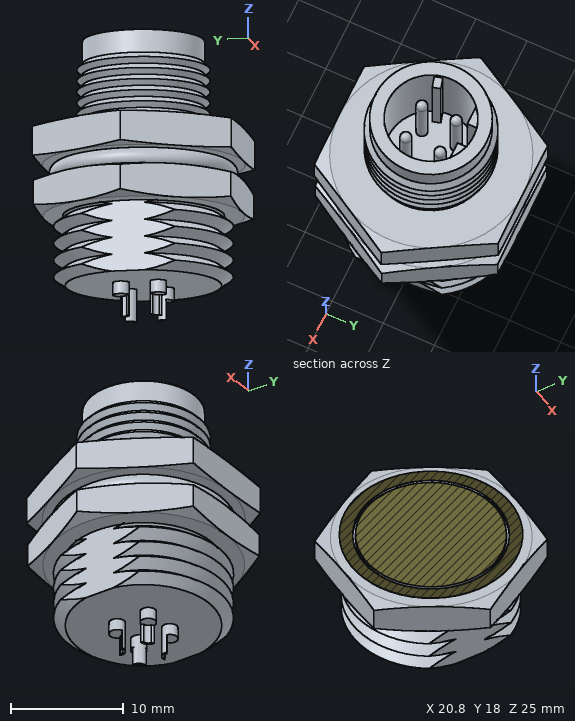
import cadquery as cq
import math

TOTAL_HEIGHT = 25.02
FLANGE_TOP = 16.9
HEX_THICKNESS = 3.0
NUT_TOP = 12.23
BARREL_BOTTOM = 2.95
CUP_TOP = 1.83
FLANGE_BOTTOM = FLANGE_TOP - HEX_THICKNESS
NUT_BOTTOM = NUT_TOP - HEX_THICKNESS

FLANGE_ACROSS_FLATS = 18.0
NUT_ACROSS_FLATS = 17.86
FLANGE_CHAMFER_ANGLE = 7.0
NUT_CHAMFER_ANGLE = 16.0

COLLAR_RADIUS = 5.43
SOCKET_RADIUS = 4.15
SOCKET_FLOOR = FLANGE_TOP
FRONT_CREST_RADIUS = 5.93
FRONT_PITCH = 1.0
FRONT_RIDGES = 5
FRONT_THREAD_TOP = TOTAL_HEIGHT - 2.08
FRONT_THREAD_BOTTOM = FRONT_THREAD_TOP - FRONT_RIDGES * FRONT_PITCH

REAR_ROOT_RADIUS = 6.93
REAR_CREST_RADIUS = 7.98
REAR_PITCH = 1.53
REAR_RIDGES = 6
BARREL_ACROSS_FLATS = 13.54

RING_OUTER_RADIUS = 8.35
RING_SECTION_RADIUS = (FLANGE_BOTTOM - NUT_TOP) / 2
RING_CENTER_RADIUS = RING_OUTER_RADIUS - RING_SECTION_RADIUS
NECK_RADIUS = RING_CENTER_RADIUS - RING_SECTION_RADIUS

KEY_TOP = TOTAL_HEIGHT - 0.38
KEY_HEIGHT = KEY_TOP - SOCKET_FLOOR
KEYWAY_WIDTH = 2.03
WALL_KEY_INNER_Y = 3.08
RIB_WIDTH = 0.78
RIB_INNER_RADIUS = 3.1
RIB_ANGLE = 196.0

PIN_OFFSET = 1.68
PIN_RADIUS = 0.53
PIN_TIP = TOTAL_HEIGHT - 1.95
CUP_RADIUS = 0.73
CUP_BORE_RADIUS = 0.5
CUP_CUT_OFFSET = 0.363


def cylinder(radius, bottom, top):
    return cq.Workplane("XY").workplane(offset=bottom).circle(radius).extrude(top - bottom)


def ridged_cylinder(root_radius, crest_radius, pitch, ridges, bottom):
    """Cylinder with equal V-shaped rings stacked along Z."""
    outline = cq.Workplane("XZ").moveTo(0, bottom).lineTo(root_radius, bottom)
    for ridge in range(ridges):
        ridge_bottom = bottom + ridge * pitch
        outline = outline.lineTo(crest_radius, ridge_bottom + pitch / 2)
        outline = outline.lineTo(root_radius, ridge_bottom + pitch)
    outline = outline.lineTo(0, bottom + ridges * pitch).close()
    return outline.revolve(360, (0, 0), (0, 1))


def chamfered_hexagon(across_flats, chamfer_angle, bottom):
    """Hexagonal plate with corners on the X axis, chamfered on both faces."""
    corner_radius = across_flats / math.sqrt(3)
    flat_radius = across_flats / 2
    top = bottom + HEX_THICKNESS
    drop = (corner_radius - flat_radius) * math.tan(math.radians(chamfer_angle))
    plate = (
        cq.Workplane("XY").workplane(offset=bottom).polygon(6, 2 * corner_radius).extrude(HEX_THICKNESS)
    )
    envelope = (
        cq.Workplane("XZ")
        .moveTo(0, bottom)
        .lineTo(flat_radius, bottom)
        .lineTo(corner_radius, bottom + drop)
        .lineTo(corner_radius, top - drop)
        .lineTo(flat_radius, top)
        .lineTo(0, top)
        .close()
        .revolve(360, (0, 0), (0, 1))
    )
    return plate.intersect(envelope)


def rear_barrel():
    """Full-round rear thread, with a plain stretch at its upper end."""
    thread = ridged_cylinder(REAR_ROOT_RADIUS, REAR_CREST_RADIUS, REAR_PITCH, REAR_RIDGES, BARREL_BOTTOM)
    return thread.union(cylinder(REAR_ROOT_RADIUS, BARREL_BOTTOM, NUT_TOP))


def flattened_barrel():
    """Rear barrel with a flat on its -X side and another on its +X side."""
    slab = (
        cq.Workplane("XY")
        .workplane(offset=BARREL_BOTTOM)
        .rect(BARREL_ACROSS_FLATS, 2 * REAR_CREST_RADIUS)
        .extrude(NUT_TOP - BARREL_BOTTOM)
    )
    return rear_barrel().intersect(slab)


def collar():
    """Front tube with its thread and the open socket."""
    thread = ridged_cylinder(
        COLLAR_RADIUS, FRONT_CREST_RADIUS, FRONT_PITCH, FRONT_RIDGES, FRONT_THREAD_BOTTOM
    )
    tube = cylinder(COLLAR_RADIUS, FLANGE_TOP, TOTAL_HEIGHT).union(thread)
    return tube.cut(cylinder(SOCKET_RADIUS, SOCKET_FLOOR, TOTAL_HEIGHT))


def socket_keys():
    """Two wall keys that leave a keyway on the +Y side, and one narrow rib."""
    wall_radius = (SOCKET_RADIUS + COLLAR_RADIUS) / 2
    base = cq.Workplane("XY").workplane(offset=SOCKET_FLOOR)
    blocks = (
        base.center(0, WALL_KEY_INNER_Y)
        .rect(2 * wall_radius, wall_radius, centered=(True, False))
        .extrude(KEY_HEIGHT)
    )
    keyway = base.rect(KEYWAY_WIDTH, 2 * COLLAR_RADIUS).extrude(KEY_HEIGHT)
    rib = (
        base.center(RIB_INNER_RADIUS, 0)
        .rect(wall_radius - RIB_INNER_RADIUS, RIB_WIDTH, centered=(False, True))
        .extrude(KEY_HEIGHT)
        .rotate((0, 0, 0), (0, 0, 1), RIB_ANGLE)
    )
    keys = blocks.cut(keyway).union(rib)
    return keys.intersect(cylinder(wall_radius, SOCKET_FLOOR, KEY_TOP))


def contact_pin():
    """Round-ended pin standing on the socket floor, centred on the Z axis."""
    dome_center = PIN_TIP - PIN_RADIUS
    shaft = cylinder(PIN_RADIUS, SOCKET_FLOOR, dome_center)
    dome = cq.Workplane("XY").sphere(PIN_RADIUS).translate((0, 0, dome_center))
    return shaft.union(dome)


def solder_cup():
    """Cup on the Z axis, hollow and cut open toward +X below its solid upper part."""
    cut_away = (
        cq.Workplane("XY")
        .center(CUP_RADIUS - CUP_CUT_OFFSET, 0)
        .rect(2 * CUP_RADIUS, 2 * CUP_RADIUS)
        .extrude(CUP_TOP)
    )
    cup = cylinder(CUP_RADIUS, 0, BARREL_BOTTOM)
    return cup.cut(cut_away).cut(cylinder(CUP_BORE_RADIUS, 0, CUP_TOP))


def make_housing():
    housing = chamfered_hexagon(FLANGE_ACROSS_FLATS, FLANGE_CHAMFER_ANGLE, FLANGE_BOTTOM)
    housing = housing.union(cylinder(NECK_RADIUS, NUT_TOP, FLANGE_BOTTOM))
    housing = housing.union(flattened_barrel())
    housing = housing.union(collar())
    housing = housing.union(socket_keys())
    for side_x in (-1, 1):
        for side_y in (-1, 1):
            place = (side_x * PIN_OFFSET, side_y * PIN_OFFSET, 0)
            outward_angle = math.degrees(math.atan2(side_y, side_x))
            cup = solder_cup().rotate((0, 0, 0), (0, 0, 1), outward_angle)
            housing = housing.union(contact_pin().translate(place))
            housing = housing.union(cup.translate(place))
    return housing


def make_nut():
    """Hexagonal nut whose thread matches the full-round rear barrel."""
    return chamfered_hexagon(NUT_ACROSS_FLATS, NUT_CHAMFER_ANGLE, NUT_BOTTOM).cut(rear_barrel())


def make_o_ring():
    ring_center = (NUT_TOP + FLANGE_BOTTOM) / 2
    return (
        cq.Workplane("XZ")
        .center(RING_CENTER_RADIUS, ring_center)
        .circle(RING_SECTION_RADIUS)
        .revolve(360, (-RING_CENTER_RADIUS, 0), (-RING_CENTER_RADIUS, 1))
    )


housing = make_housing()
nut = make_nut()
o_ring = make_o_ring()

result = cq.Compound.makeCompound([housing.val(), nut.val(), o_ring.val()])